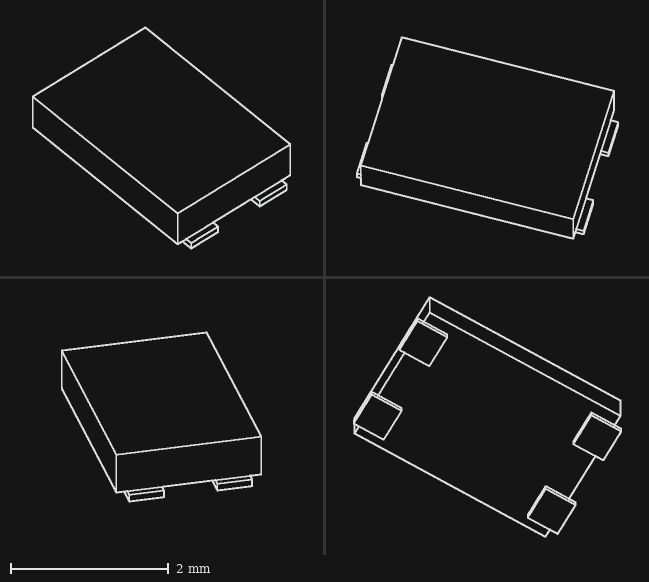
import cadquery as cq

overall_length = 2.99
overall_height = 0.65

pad_length = 0.44
pad_width = 0.455
pad_thickness = 0.1
pad_pitch_y = 1.155
pad_overhang = 0.095
pad_pitch_x = overall_length - pad_length

housing_length = overall_length - 2 * pad_overhang
housing_width = 1.9
housing_height = overall_height - pad_thickness


def make_housing():
    """Plain block whose underside lies on top of the pads."""
    return (
        cq.Workplane("XY")
        .workplane(offset=pad_thickness)
        .box(housing_length, housing_width, housing_height, centered=(True, True, False))
    )


def make_pad(center_x, center_y):
    """Flat rectangular pad standing on the base plane."""
    return (
        cq.Workplane("XY")
        .center(center_x, center_y)
        .box(pad_length, pad_width, pad_thickness, centered=(True, True, False))
    )


housing = make_housing()

pads = []
for side_x in (-1, 1):
    for side_y in (-1, 1):
        pads.append(make_pad(side_x * pad_pitch_x / 2, side_y * pad_pitch_y / 2))

result = cq.Compound.makeCompound([housing.val(), *[pad.val() for pad in pads]])